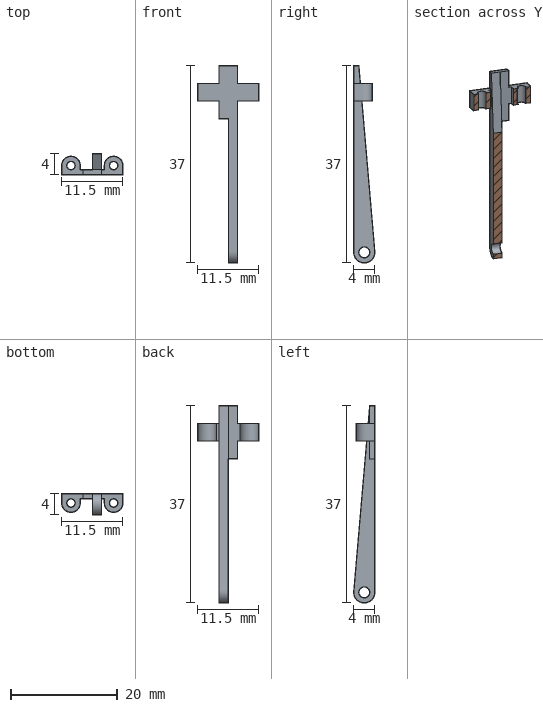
import cadquery as cq
import math

total_height = 37.0
total_width = 11.5

plate_thickness = 1.0
plate_width = 3.5
plate_height = 10.0

bar_height = 3.33
bar_drop = 3.33
lug_width = 3.5
lug_hole_diameter = 1.5
lug_radius = lug_width / 2
lug_offset = total_width / 2 - lug_radius
bar_bottom = total_height - bar_drop - bar_height

arm_width = plate_width / 2
eye_radius = 2.0
eye_hole_diameter = 2.0
taper_top = total_height


def make_plate():
    return cq.Workplane("XY").box(
        plate_width, plate_thickness, plate_height, centered=(True, False, False)
    ).translate((0, 0, total_height - plate_height))


def make_crossbar():
    """Thin bar joining two lugs with rounded backs and vertical holes."""
    base = cq.Workplane("XY").workplane(offset=bar_bottom)
    bar = (
        base.center(0, plate_thickness / 2)
        .rect(2 * lug_offset, plate_thickness)
        .extrude(bar_height)
    )
    for x in (-lug_offset, lug_offset):
        lug = (
            base.moveTo(x - lug_radius, 0)
            .lineTo(x - lug_radius, lug_radius)
            .threePointArc((x, 2 * lug_radius), (x + lug_radius, lug_radius))
            .lineTo(x + lug_radius, 0)
            .close()
            .extrude(bar_height)
        )
        hole = base.center(x, lug_radius).circle(lug_hole_diameter / 2).extrude(bar_height)
        bar = bar.union(lug).cut(hole)
    return bar


def make_arm():
    """Arm whose back slopes from the plate to a tangent on the round eye."""
    rise = taper_top - eye_radius
    run = plate_thickness - eye_radius
    tangent_angle = math.atan2(rise, run) - math.acos(eye_radius / math.hypot(run, rise))
    tangent_y = eye_radius + eye_radius * math.cos(tangent_angle)
    tangent_z = eye_radius + eye_radius * math.sin(tangent_angle)
    return (
        cq.Workplane("YZ")
        .moveTo(0, eye_radius)
        .lineTo(0, taper_top)
        .lineTo(plate_thickness, taper_top)
        .lineTo(tangent_y, tangent_z)
        .threePointArc((eye_radius, 0), (0, eye_radius))
        .close()
        .moveTo(eye_radius, eye_radius)
        .circle(eye_hole_diameter / 2)
        .extrude(arm_width)
    )


result = make_plate().union(make_crossbar()).union(make_arm())